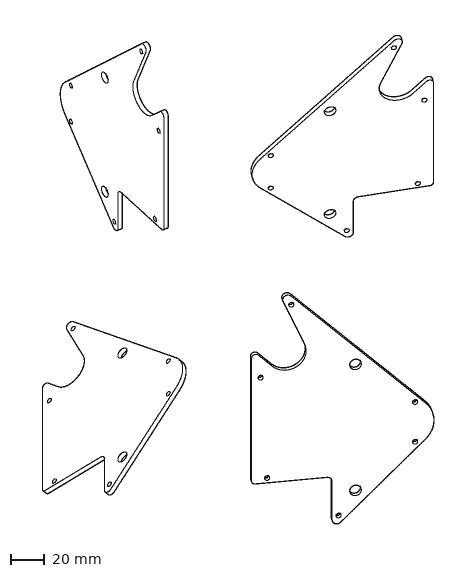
import cadquery as cq
import math

width = 110.6
top_z = 94.5
bottom_z = -64.6
thickness = 3.2

nose_radius = 17.2
tip_radius = 3.0
upper_right_radius = 2.5
foot_radius = 2.4
step_radius = 3.0

step_x = 61.8
step_z = -32.3

notch_radius = 12.0
notch_x = 89.5
notch_z = 55.4

small_hole_diameter = 3.0
large_hole_diameter = 7.0
nose_hole_x = 11.5
nose_hole_z = 13.5
large_hole_x = 47.6
large_hole_z = 43.0
single_small_holes = [(86.5, 87.7), (105.0, 40.0), (101.1, -29.0), (57.8, -59.0)]

diagonal = math.sqrt(2)
tip_offset = (nose_radius - tip_radius) * diagonal

upper_right_x = width - upper_right_radius
upper_right_z = notch_z + upper_right_x - notch_x - (notch_radius + upper_right_radius) * diagonal

corners = [
    (nose_radius, 0, nose_radius),
    (nose_radius + top_z - tip_radius - tip_offset, top_z - tip_radius, tip_radius),
    (notch_x, notch_z, -notch_radius),
    (upper_right_x, upper_right_z, upper_right_radius),
    (width - foot_radius, step_z + foot_radius, foot_radius),
    (step_x + step_radius, step_z - step_radius, -step_radius),
    (step_x - tip_radius, bottom_z + tip_radius, tip_radius),
]


def edge_normal(start, end):
    """Angle of the outward normal of the straight edge tangent to two corners."""
    dx = end[0] - start[0]
    dz = end[1] - start[1]
    slant = math.asin((end[2] - start[2]) / math.hypot(dx, dz))
    return math.atan2(dz, dx) + slant + math.pi / 2


def point_on(corner, angle):
    x, z, radius = corner
    return (x + radius * math.cos(angle), z + radius * math.sin(angle))


def make_plate():
    count = len(corners)
    normals = [edge_normal(corners[i], corners[(i + 1) % count]) for i in range(count)]
    outline = cq.Workplane("XZ").moveTo(*point_on(corners[0], normals[-1]))
    for i, corner in enumerate(corners):
        arriving = normals[i - 1]
        turn = math.remainder(normals[i] - arriving, 2 * math.pi)
        middle = point_on(corner, arriving + turn / 2)
        leaving = point_on(corner, normals[i])
        outline = outline.threePointArc(middle, leaving)
        if i < count - 1:
            outline = outline.lineTo(*point_on(corners[i + 1], normals[i]))
    return outline.close().extrude(thickness)


def make_holes(centres, diameter):
    return cq.Workplane("XZ").pushPoints(centres).circle(diameter / 2).extrude(thickness)


nose_holes = [(nose_hole_x, side * nose_hole_z) for side in (1, -1)]
large_holes = [(large_hole_x, side * large_hole_z) for side in (1, -1)]

result = (
    make_plate()
    .cut(make_holes(nose_holes + single_small_holes, small_hole_diameter))
    .cut(make_holes(large_holes, large_hole_diameter))
)